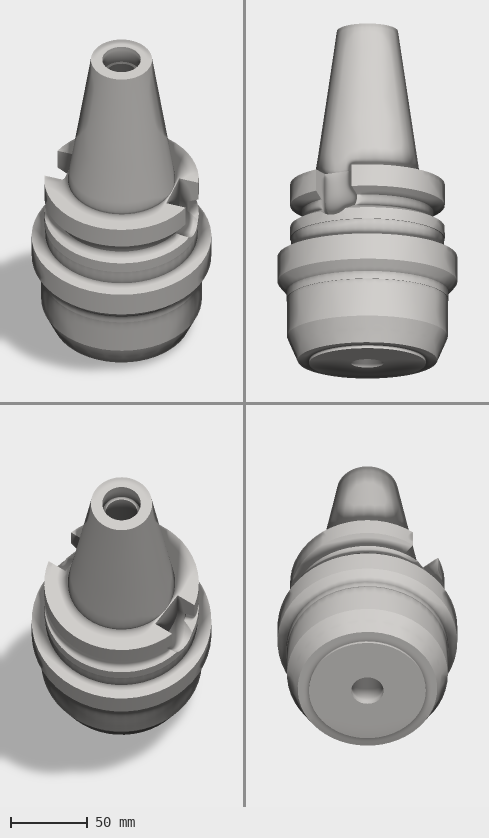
import cadquery as cq

total_height = 223.8

lip_radius = 38.0
lip_height = 2.0
nose_radius = 45.5
nose_top = 18.1
body_radius = 52.4
body_top = 43.0
ring_radius = 52.8
ring_top = 48.1

collar_radius = 58.52
collar_bottom = 54.8
collar_top = 71.8
collar_slope_top = 74.0

shoulder_radius = 49.7
shoulder_top = 84.1
flange_radius = 50.4
groove_radius = 43.0
groove_lower_edge = 91.8
groove_floor_bottom = 95.5
groove_floor_top = 102.3
groove_upper_edge = 106.3
flange_top = 120.6

taper_base = 121.7
taper_base_radius = 35.0
taper_top_radius = 20.0

slot_width = 26.0
slot_bottom = 88.2
slot_floor_distance = 35.4

bore_radius = 10.5
counterbore_radius = 12.5
counterbore_depth = 12.8


def turned_body():
    profile = [
        (0, 0),
        (lip_radius, 0),
        (lip_radius, lip_height),
        (nose_radius, lip_height),
        (body_radius, nose_top),
        (body_radius, body_top),
        (ring_radius, body_top),
        (ring_radius, ring_top),
        (collar_radius, collar_bottom),
        (collar_radius, collar_top),
        (shoulder_radius, collar_slope_top),
        (shoulder_radius, shoulder_top),
        (flange_radius, shoulder_top),
        (flange_radius, groove_lower_edge),
        (groove_radius, groove_floor_bottom),
        (groove_radius, groove_floor_top),
        (flange_radius, groove_upper_edge),
        (flange_radius, flange_top),
        (taper_base_radius, flange_top),
        (taper_base_radius, taper_base),
        (taper_top_radius, total_height),
        (0, total_height),
    ]
    return cq.Workplane("XZ").polyline(profile).close().revolve(360, (0, 0, 0), (0, 1, 0))


def drive_slot(side):
    """Slot cutter on the +X (side = 1) or -X (side = -1) side."""
    half_width = slot_width / 2
    arc_center = slot_bottom + half_width
    return (
        cq.Workplane("YZ", origin=(side * slot_floor_distance, 0, 0))
        .moveTo(-half_width, flange_top)
        .lineTo(-half_width, arc_center)
        .threePointArc((0, slot_bottom), (half_width, arc_center))
        .lineTo(half_width, flange_top)
        .close()
        .extrude(side * (collar_radius - slot_floor_distance))
    )


def axial_bore():
    through_hole = cq.Workplane("XY").circle(bore_radius).extrude(total_height)
    counterbore = (
        cq.Workplane("XY", origin=(0, 0, total_height - counterbore_depth))
        .circle(counterbore_radius)
        .extrude(counterbore_depth)
    )
    return through_hole.union(counterbore)


result = turned_body().cut(axial_bore())
for side in (-1, 1):
    result = result.cut(drive_slot(side))